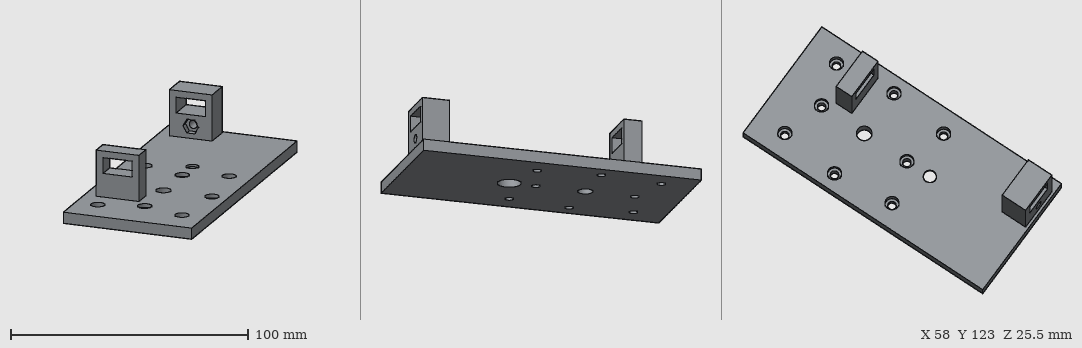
import cadquery as cq

PLATE_WIDTH = 58.0
PLATE_LENGTH = 123.04
PLATE_THICKNESS = 5.0
PLATE_FRONT_Y = -42.0

CENTER_HOLE_DIAMETER = 6.5
REAR_HOLE_DIAMETER = 5.5
REAR_HOLE_Y = 33.7
REAR_RECESS_DIAMETER = 10.1
REAR_LIP_THICKNESS = 1.0

SCREW_DIAMETER = 3.6
SCREW_HEAD_DIAMETER = 6.0
AXIS_HEAD_DEPTH = 1.7
CORNER_HEAD_DEPTH = 2.8
AXIS_SCREW_RADIUS = 21.9
CORNER_SCREW_X = 19.0
CORNER_SCREW_Y = 27.5

TOTAL_HEIGHT = 25.5
POST_CENTER_X = -14.0
POST_WIDTH = 19.35
FRONT_POST_Y = -17.4
FRONT_POST_LENGTH = 8.0
REAR_POST_Y = 67.82
REAR_POST_LENGTH = 12.0
WINDOW_WIDTH = 13.2
WINDOW_HEIGHT = 7.0
WINDOW_TOP_WALL = 3.0

NUT_ACROSS_CORNERS = 7.0
NUT_POCKET_DEPTH = 3.0
NUT_CENTER_Z = 10.25
BOLT_DIAMETER = 3.6
HEXAGON_SIDES = 6


def make_block(width, length, height, center_x, front_y, bottom_z):
    """Box placed by its middle in X, its front face in Y and its underside in Z."""
    return (
        cq.Workplane("XY")
        .box(width, length, height, centered=(True, False, False))
        .translate((center_x, front_y, bottom_z))
    )


def make_post(front_y, length):
    """Block with a rectangular window running through it along Y."""
    block_height = TOTAL_HEIGHT - PLATE_THICKNESS
    window_bottom_z = TOTAL_HEIGHT - WINDOW_TOP_WALL - WINDOW_HEIGHT
    block = make_block(POST_WIDTH, length, block_height, POST_CENTER_X, front_y, PLATE_THICKNESS)
    window = make_block(WINDOW_WIDTH, length, WINDOW_HEIGHT, POST_CENTER_X, front_y, window_bottom_z)
    return block.cut(window)


def make_nut_cutter():
    """Hexagonal pocket, two corners level in X, and a bolt hole through the rear post."""
    post_face = cq.Workplane("XZ", origin=(POST_CENTER_X, REAR_POST_Y, NUT_CENTER_Z))
    pocket = post_face.polygon(HEXAGON_SIDES, NUT_ACROSS_CORNERS).extrude(-NUT_POCKET_DEPTH)
    bolt_hole = post_face.circle(BOLT_DIAMETER / 2).extrude(-REAR_POST_LENGTH)
    return pocket.union(bolt_hole)


def axis_screw_positions():
    """XY centres of the four screw holes on the axes."""
    radius = AXIS_SCREW_RADIUS
    return [(radius, 0), (0, radius), (-radius, 0), (0, -radius)]


def corner_screw_positions():
    """XY centres of the four screw holes at the corners of the rectangle."""
    return [(side * CORNER_SCREW_X, end * CORNER_SCREW_Y) for side in (-1, 1) for end in (-1, 1)]


def make_cylinders(positions, diameter, bottom_z, top_z):
    """Upright cylinders between two heights, one at each position."""
    return (
        cq.Workplane("XY", origin=(0, 0, bottom_z))
        .pushPoints(positions)
        .circle(diameter / 2)
        .extrude(top_z - bottom_z)
    )


def make_screw_cutter(positions, head_depth):
    """Through holes with a counterbore of the given depth in the top of the plate."""
    shanks = make_cylinders(positions, SCREW_DIAMETER, 0, PLATE_THICKNESS)
    heads = make_cylinders(positions, SCREW_HEAD_DIAMETER, PLATE_THICKNESS - head_depth, PLATE_THICKNESS)
    return shanks.union(heads)


def make_plate():
    """Rectangular plate with its screw holes, central hole and recessed rear hole."""
    center = [(0, 0)]
    rear = [(0, REAR_HOLE_Y)]
    recess_top_z = PLATE_THICKNESS - REAR_LIP_THICKNESS
    return (
        make_block(PLATE_WIDTH, PLATE_LENGTH, PLATE_THICKNESS, 0, PLATE_FRONT_Y, 0)
        .cut(make_screw_cutter(axis_screw_positions(), AXIS_HEAD_DEPTH))
        .cut(make_screw_cutter(corner_screw_positions(), CORNER_HEAD_DEPTH))
        .cut(make_cylinders(center, CENTER_HOLE_DIAMETER, 0, PLATE_THICKNESS))
        .cut(make_cylinders(rear, REAR_HOLE_DIAMETER, 0, PLATE_THICKNESS))
        .cut(make_cylinders(rear, REAR_RECESS_DIAMETER, 0, recess_top_z))
    )


plate = make_plate()
front_post = make_post(FRONT_POST_Y, FRONT_POST_LENGTH)
rear_post = make_post(REAR_POST_Y, REAR_POST_LENGTH).cut(make_nut_cutter())
result = plate.union(front_post).union(rear_post)